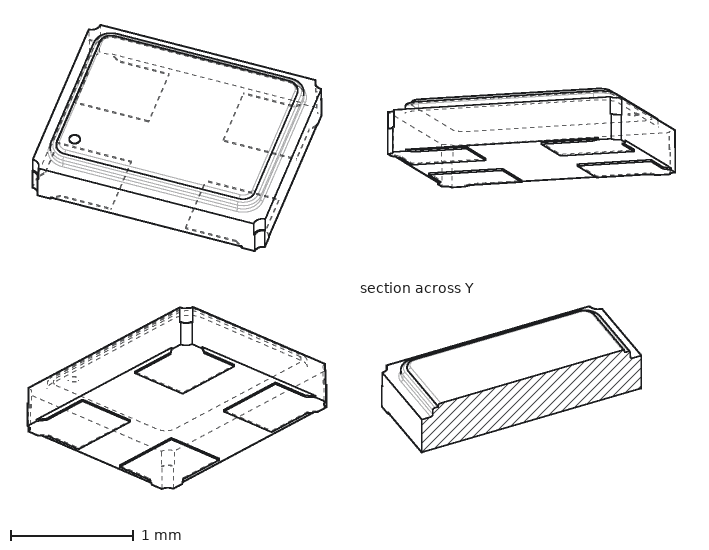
import cadquery as cq

length = 2.0
width = 1.6
height = 0.46
overlap = 0.001

pad_thickness = 0.015
pad_gap_x = 0.64
pad_gap_y = 0.45
pad_setback = 0.05
pad_corner_reach = 0.175
pad_slope_length = 0.07

body_top = 0.35
castellation_radius = 0.075
plating_thickness = 0.01
plating_top = 0.21

lid_corner_inset = 0.25
braze_radius = 0.019
flange_inset = 0.10
flange_top = 0.43
flange_rounding = 0.02
plateau_inset = 0.15
plateau_rounding = 0.022

mark_radius = 0.045
mark_depth = 0.005
mark_x = -0.714
mark_y = -0.498

corner_signs = [(sx, sy) for sx in (-1, 1) for sy in (-1, 1)]
corners = [(sx * length / 2, sy * width / 2) for sx, sy in corner_signs]


def centred_box(inset, z0, z1):
    """Block centred on the Z axis, its sides a given inset inside the body sides."""
    return (
        cq.Workplane("XY", origin=(0, 0, z0))
        .rect(length - 2 * inset, width - 2 * inset)
        .extrude(z1 - z0)
    )


def corner_cylinders(radius, z0, z1):
    """Upright cylinders centred on the four corners of the package."""
    return cq.Workplane("XY", origin=(0, 0, z0)).pushPoints(corners).circle(radius).extrude(z1 - z0)


def make_body():
    return centred_box(0, pad_thickness, body_top)


def make_pad(sx, sy):
    """Corner pad, flush with both sides near the corner, then sloping back to the setback."""
    reach = pad_corner_reach
    setback_start = pad_corner_reach + pad_slope_length
    pad_x = (length - pad_gap_x) / 2
    pad_y = (width - pad_gap_y) / 2
    outline = [
        (0, 0),
        (reach, 0), (setback_start, pad_setback), (pad_x, pad_setback),
        (pad_x, pad_y),
        (pad_setback, pad_y), (pad_setback, setback_start), (0, reach),
    ]
    points = [(sx * (length / 2 - dx), sy * (width / 2 - dy)) for dx, dy in outline]
    return cq.Workplane("XY").polyline(points).close().extrude(pad_thickness + overlap)


def cut_castellations(part):
    """Corner notches, narrowed in their lower part by the plating."""
    part = part.cut(corner_cylinders(castellation_radius - plating_thickness, 0, plating_top))
    return part.cut(corner_cylinders(castellation_radius, plating_top, body_top))


def lid_layer(inset, z0, z1):
    """Rounded rectangle at a given inset from the body sides."""
    return centred_box(inset, z0, z1).edges("|Z").fillet(lid_corner_inset - inset)


def make_lid():
    flange = lid_layer(flange_inset, body_top - overlap, flange_top)
    flange = flange.faces(">Z").edges().fillet(flange_rounding)
    plateau = lid_layer(plateau_inset, flange_top - overlap, height)
    plateau = plateau.faces(">Z").edges().fillet(plateau_rounding)
    return flange.union(plateau)


def add_braze_fillet(part):
    """Concave fillet where the flange wall stands on the body top."""
    half_x = length / 2 - flange_inset + overlap
    half_y = width / 2 - flange_inset + overlap
    foot = cq.selectors.BoxSelector(
        (-half_x, -half_y, body_top - overlap), (half_x, half_y, body_top + overlap), boundingbox=True
    )
    return part.edges(foot).fillet(braze_radius)


def make_mark():
    return (
        cq.Workplane("XY", origin=(mark_x, mark_y, height - mark_depth))
        .circle(mark_radius)
        .extrude(mark_depth + overlap)
    )


result = make_body()
for sign_x, sign_y in corner_signs:
    result = result.union(make_pad(sign_x, sign_y))
result = cut_castellations(result)
result = result.union(make_lid())
result = add_braze_fillet(result)
result = result.cut(make_mark())